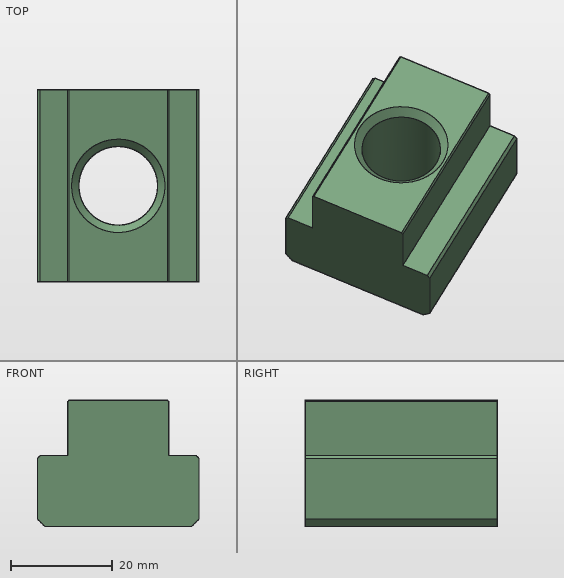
import cadquery as cq

length = 38.0
base_width = 32.0
total_height = 25.0
base_height = 14.05
neck_width = 20.05
hole_diameter = 15.5
countersink_diameter = 18.45
countersink_angle = 90

bottom_chamfer = 1.5
shoulder_chamfer = 0.57
neck_chamfer = 0.3

neck_height = total_height - base_height


def make_base():
    """Wide flange with larger chamfers along its lower long edges."""
    base = cq.Workplane("XY").box(base_width, length, base_height, centered=(True, True, False))
    base = base.faces("<Z").edges("|Y").chamfer(bottom_chamfer)
    return base.faces(">Z").edges("|Y").chamfer(shoulder_chamfer)


def make_neck():
    """Narrow upper block that runs in the slot."""
    neck = cq.Workplane("XY").workplane(offset=base_height)
    neck = neck.box(neck_width, length, neck_height, centered=(True, True, False))
    return neck.faces(">Z").edges("|Y").chamfer(neck_chamfer)


result = (
    make_base()
    .union(make_neck())
    .faces(">Z")
    .workplane(origin=(0, 0, total_height))
    .cskHole(hole_diameter, countersink_diameter, countersink_angle)
)